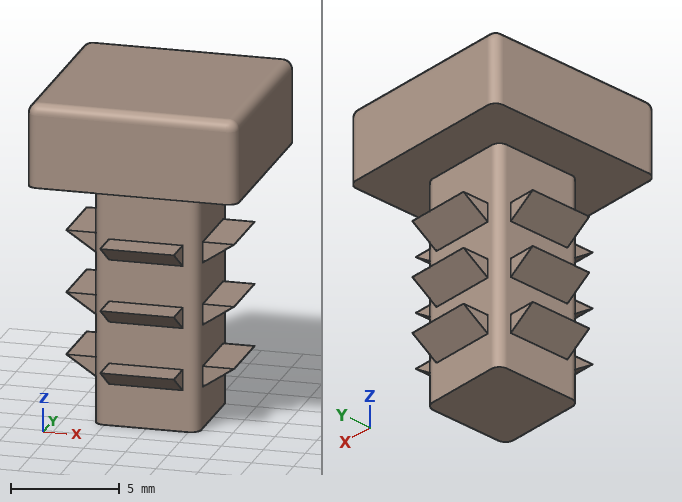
import cadquery as cq

total_height = 16.0
head_width = 10.0
head_height = 4.0
edge_radius = 0.5

stem_width = head_width / 2
stem_length = total_height - head_height

barb_rows = 3
barb_pitch = stem_length / (barb_rows + 1)
barb_height = barb_pitch / 3
barb_width = 3.5
barb_tip = 4.0
root_overlap = 0.16


def make_head():
    head = cq.Workplane("XY").workplane(offset=stem_length)
    head = head.rect(head_width, head_width).extrude(head_height)
    return head.edges("|Z or >Z").fillet(edge_radius)


def make_stem():
    stem = cq.Workplane("XY").rect(stem_width, stem_width).extrude(stem_length)
    return stem.edges("|Z").fillet(edge_radius)


def make_barb(top_z):
    """Wedge on the +X face: flat on top, sloping back to the stem below."""
    face_x = stem_width / 2
    inner_x = face_x - root_overlap
    profile = [
        (inner_x, top_z),
        (barb_tip, top_z),
        (face_x, top_z - barb_height),
        (inner_x, top_z - barb_height),
    ]
    return cq.Workplane("XZ").polyline(profile).close().extrude(barb_width / 2, both=True)


result = make_head().union(make_stem())
for row in range(1, barb_rows + 1):
    barb = make_barb(row * barb_pitch)
    for angle in (0, 90, 180, 270):
        result = result.union(barb.rotate((0, 0, 0), (0, 0, 1), angle))